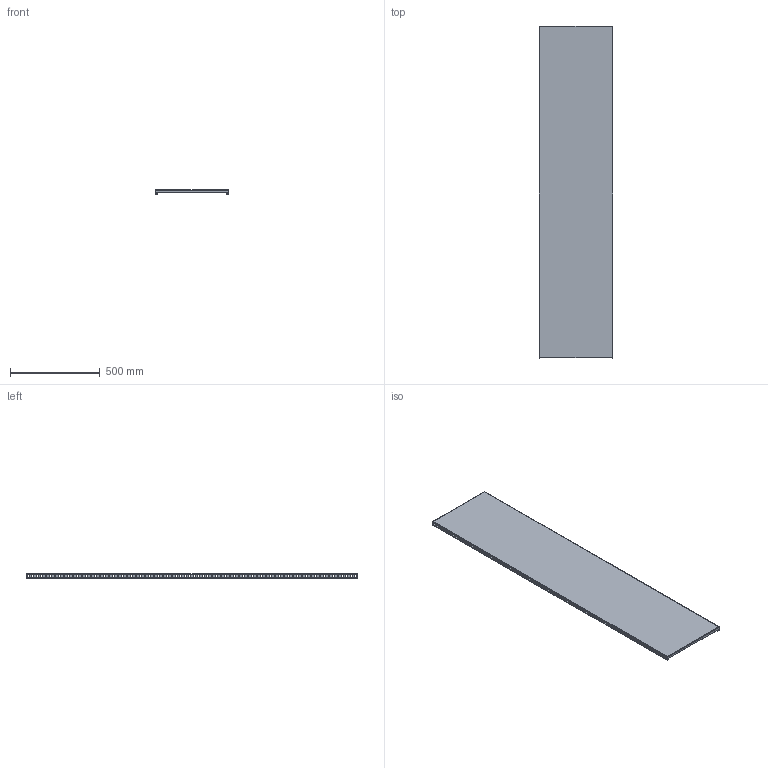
import cadquery as cq

width = 412.0
length = 1850.0
height = 25.0

sheet = 1.5
bend_radius = 3.0
inner_radius = bend_radius - sheet
lip_width = 15.0
lip_setback = sheet
end_flange_height = 15.0

hole_pitch = 25.0
hole_count = round(length / hole_pitch)
hole_size = 9.0
hole_centre_height = height / 2


def block(x_size, y_size, z_bottom, z_top):
    """Box centred on x and y between two heights."""
    box = cq.Workplane("XY").box(x_size, y_size, z_top - z_bottom, centered=(True, True, False))
    return box.translate((0, 0, z_bottom))


def round_bends(body, radius):
    """Round the four upper edges and the two long lower edges."""
    upper_rounded = body.faces(">Z").edges().fillet(radius)
    return upper_rounded.faces("<Z").edges("|Y").fillet(radius)


def build_shell():
    """Hollow sheet shell with rounded bends, still closed all round."""
    outside = round_bends(block(width, length, 0, height), bend_radius)
    cavity = block(width - 2 * sheet, length - 2 * sheet, sheet, height - sheet)
    return outside.cut(round_bends(cavity, inner_radius))


def open_underside(shell):
    """Open the floor between the two long lips."""
    return shell.cut(block(width - 2 * lip_width, length, 0, sheet))


def open_ends(shell):
    """Stop the end flanges above the lips and set the lips back from the ends."""
    opening = block(width - 2 * sheet, length, 0, height - end_flange_height)
    kept_middle = block(width, length - 2 * lip_setback, 0, height)
    return shell.cut(opening.cut(kept_middle))


def build_holes():
    """Row of square holes running straight through both side flanges."""
    return (
        cq.Workplane("YZ", origin=(-width / 2, 0, hole_centre_height))
        .rarray(hole_pitch, 1, hole_count, 1)
        .rect(hole_size, hole_size)
        .extrude(width)
    )


result = open_ends(open_underside(build_shell())).cut(build_holes())